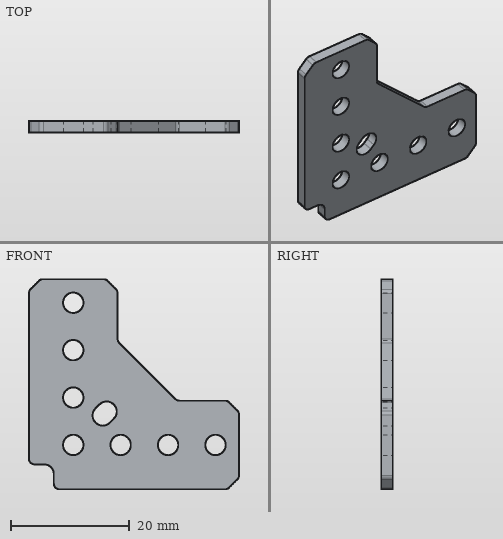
import cadquery as cq

LEG_LENGTH = 35.5
LEG_WIDTH = 15.0
THICKNESS = 2.0
GUSSET_LEG = 10.0

END_CHAMFER = 2.0
CORNER_RADIUS = 1.0
NOTCH_SIDE = 4.2
NOTCH_RADIUS = 1.6

HOLE_DIAMETER = 3.4
HOLE_PITCH = 8.0
HOLES_PER_LEG = 4
HOLE_INSET = LEG_WIDTH / 2
SLOT_POSITION = 12.8
SLOT_CENTER_SPACING = 0.9
SLOT_ANGLE = 45.0


def make_plate():
    """L-shaped plate with a gusset, chamfered leg ends and a notched outer corner."""
    chamfer_start = LEG_LENGTH - END_CHAMFER

    x_leg = [
        (NOTCH_SIDE, 0),
        (chamfer_start, 0),
        (LEG_LENGTH, END_CHAMFER),
        (LEG_LENGTH, LEG_WIDTH - END_CHAMFER),
        (chamfer_start, LEG_WIDTH),
        (LEG_WIDTH + GUSSET_LEG, LEG_WIDTH),
    ]
    z_leg = [(z, x) for x, z in reversed(x_leg)]
    notch_corner = (NOTCH_SIDE, NOTCH_SIDE)
    outline = x_leg + z_leg + [notch_corner]
    return cq.Workplane("XZ").polyline(outline).close().extrude(-THICKNESS)


def round_corners(plate):
    """Round the inner notch corner, and every other outline corner with the common radius."""
    notch_edge = cq.selectors.NearestToPointSelector((NOTCH_SIDE, THICKNESS / 2, NOTCH_SIDE))
    other_edges = plate.edges("|Y").edges(cq.selectors.InverseSelector(notch_edge))
    plate = other_edges.fillet(CORNER_RADIUS)
    return plate.edges("|Y").edges(notch_edge).fillet(NOTCH_RADIUS)


def cut_round_holes(plate):
    """One row of holes along each leg, sharing the hole at the corner."""
    along_x = [(HOLE_INSET + i * HOLE_PITCH, HOLE_INSET) for i in range(HOLES_PER_LEG)]
    along_z = [(z, x) for x, z in along_x[1:]]
    holes = (
        cq.Workplane("XZ")
        .pushPoints(along_x + along_z)
        .circle(HOLE_DIAMETER / 2)
        .extrude(-THICKNESS)
    )
    return plate.cut(holes)


def cut_diagonal_slot(plate):
    """Short slot along the X = Z diagonal, as wide as the round holes."""
    slot = (
        cq.Workplane("XZ")
        .center(SLOT_POSITION, SLOT_POSITION)
        .slot2D(HOLE_DIAMETER + SLOT_CENTER_SPACING, HOLE_DIAMETER, SLOT_ANGLE)
        .extrude(-THICKNESS)
    )
    return plate.cut(slot)


plate = round_corners(make_plate())
plate = cut_round_holes(plate)
result = cut_diagonal_slot(plate)